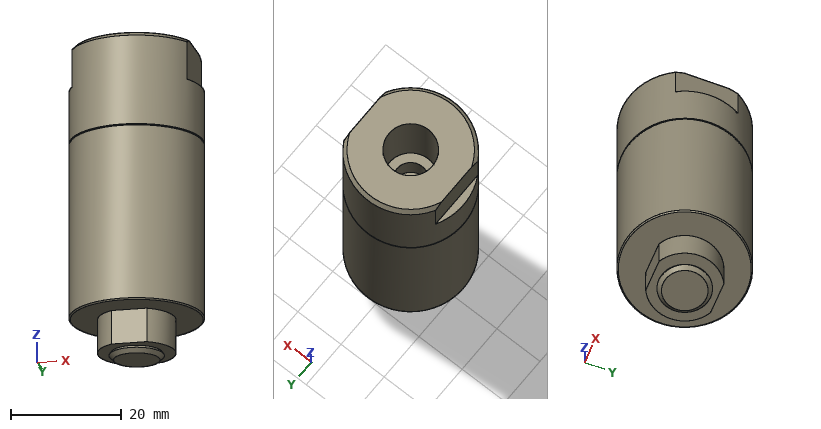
import cadquery as cq

body_diameter = 24.51
total_height = 58.42

stem_bottom = 1.27
body_bottom = 7.62
sleeve_top = 40.89

top_chamfer = 0.76
sleeve_chamfer = 0.25

top_flat_spacing = 21.3
top_flat_height = 7.8

stem_diameter = 14.17
stem_flat_spacing = 12.6

tip_root_diameter = 9.4
tip_rim_diameter = 10.03
tip_end_diameter = 8.4
tip_rim_level = 0.8

bore_diameter = 10.03
bore_depth = 15.0
inner_bore_diameter = 6.35
inner_bore_depth = 5.0


def cylinder(diameter, bottom, height):
    return cq.Workplane("XY").workplane(offset=bottom).circle(diameter / 2).extrude(height)


def make_sleeve():
    sleeve = cylinder(body_diameter, body_bottom, sleeve_top - body_bottom)
    return sleeve.faces("<Z or >Z").chamfer(sleeve_chamfer)


def make_cap():
    cap = cylinder(body_diameter, sleeve_top, total_height - sleeve_top)
    cap = cap.faces(">Z").chamfer(top_chamfer)
    flat_section = cq.Workplane("XY").box(
        top_flat_spacing, body_diameter, total_height, centered=(True, True, False)
    )
    flat_waste = cylinder(body_diameter, total_height - top_flat_height, top_flat_height).cut(flat_section)
    return cap.cut(flat_waste)


def make_stem():
    stem = cylinder(stem_diameter, stem_bottom, body_bottom - stem_bottom)
    flat_section = cq.Workplane("XY").box(
        stem_diameter, stem_flat_spacing, body_bottom, centered=(True, True, False)
    )
    return stem.intersect(flat_section)


def make_tip():
    profile = [
        (0, 0),
        (tip_end_diameter / 2, 0),
        (tip_rim_diameter / 2, tip_rim_level),
        (tip_root_diameter / 2, stem_bottom),
        (0, stem_bottom),
    ]
    return cq.Workplane("XZ").polyline(profile).close().revolve(360, (0, 0), (0, 1))


def make_bore():
    bore_floor = total_height - bore_depth
    bore = cylinder(bore_diameter, bore_floor, bore_depth)
    inner_bore = cylinder(inner_bore_diameter, bore_floor - inner_bore_depth, inner_bore_depth)
    return bore.union(inner_bore)


result = make_sleeve().union(make_cap()).union(make_stem()).union(make_tip()).cut(make_bore())